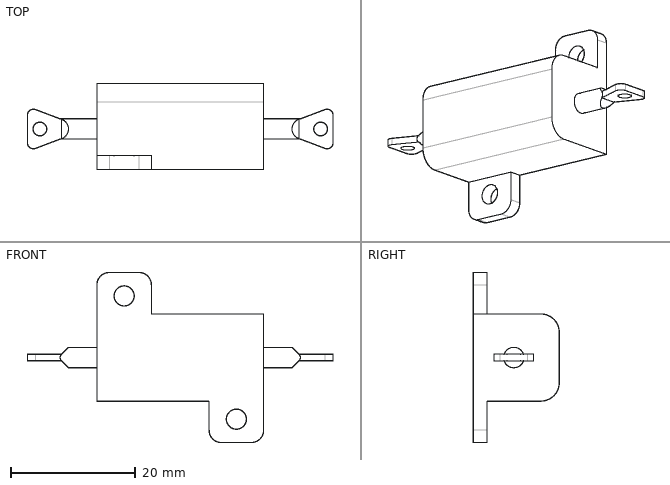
import cadquery as cq
import math

overall_length = 49.25
body_length = 26.9
body_depth = 13.9
body_height = 14.1
body_edge_radius = 3.0

overall_height = 27.4
tab_width = 8.8
tab_thickness = 2.25
tab_corner_radius = 2.0
tab_hole_diameter = 3.2
tab_hole_edge_distance = 3.8

pin_diameter = 3.3
pin_axis_y = 6.55
lug_thickness = 1.1
lug_length = 5.5
lug_tip_width = 7.3
lug_corner_radius = 1.0
lug_hole_diameter = 2.15
lug_hole_edge_distance = 2.0

pin_radius = pin_diameter / 2
lug_start_x = overall_length / 2 - lug_length
lug_root_width = 2 * math.sqrt(pin_radius**2 - (lug_thickness / 2) ** 2)


def make_body():
    block = cq.Workplane("XY").box(body_length, body_depth, body_height, centered=(True, False, True))
    return block.edges("|X and >Y").fillet(body_edge_radius)


def make_upper_tab():
    """Tab at the -X, +Z corner; it runs down to the body's centre height."""
    center_x = (tab_width - body_length) / 2
    top_z = overall_height / 2
    tab = (
        cq.Workplane("XY")
        .box(tab_width, tab_thickness, top_z, centered=(True, False, False))
        .edges("|Y and >Z")
        .fillet(tab_corner_radius)
        .translate((center_x, 0, 0))
    )
    hole = (
        cq.Workplane("XZ", origin=(center_x, 0, top_z - tab_hole_edge_distance))
        .circle(tab_hole_diameter / 2)
        .extrude(-tab_thickness)
    )
    return tab.cut(hole)


def make_pin():
    """Pin along +X whose end is a wedge with its edge parallel to Y."""
    wedge_tip_x = lug_start_x + lug_thickness / 2
    shoulder_x = wedge_tip_x - pin_radius
    pin = cq.Workplane("YZ", origin=(0, pin_axis_y, 0)).circle(pin_radius).extrude(wedge_tip_x)
    wedge_profile = (
        cq.Workplane("XZ", origin=(0, pin_axis_y, 0))
        .moveTo(0, -pin_radius)
        .lineTo(shoulder_x, -pin_radius)
        .lineTo(wedge_tip_x, 0)
        .lineTo(shoulder_x, pin_radius)
        .lineTo(0, pin_radius)
        .close()
        .extrude(pin_radius, both=True)
    )
    return pin.intersect(wedge_profile)


def make_lug():
    """Flat solder lug, flaring outwards to rounded tip corners."""
    tip_x = overall_length / 2
    lug = (
        cq.Workplane("XY", origin=(0, pin_axis_y, -lug_thickness / 2))
        .moveTo(lug_start_x, -lug_root_width / 2)
        .lineTo(tip_x, -lug_tip_width / 2)
        .lineTo(tip_x, lug_tip_width / 2)
        .lineTo(lug_start_x, lug_root_width / 2)
        .close()
        .extrude(lug_thickness)
        .edges("|Z and >X")
        .fillet(lug_corner_radius)
    )
    hole = (
        cq.Workplane("XY", origin=(tip_x - lug_hole_edge_distance, pin_axis_y, -lug_thickness / 2))
        .circle(lug_hole_diameter / 2)
        .extrude(lug_thickness)
    )
    return lug.cut(hole)


tab = make_upper_tab()
terminal = make_pin().union(make_lug())
result = make_body()
for angle in (0, 180):
    for feature in (tab, terminal):
        result = result.union(feature.rotate((0, 0, 0), (0, 1, 0), angle))